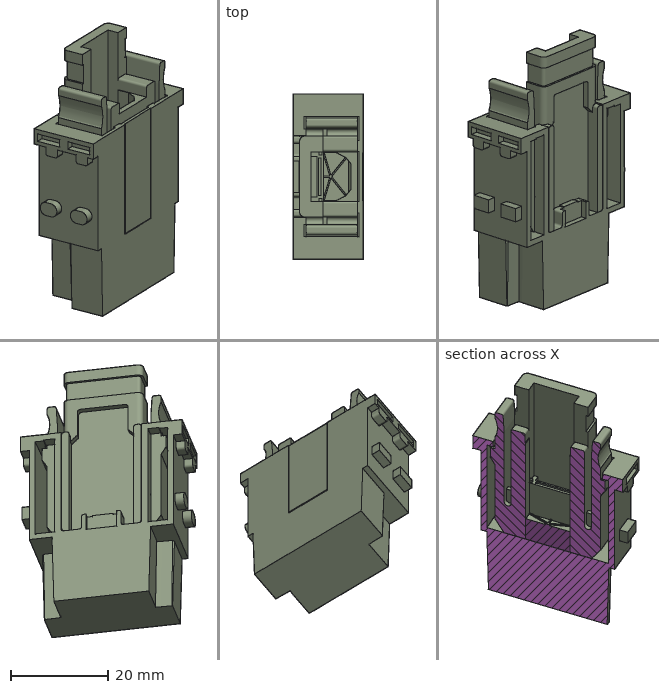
import cadquery as cq

DEPTH = 14.5
BODY_HALF = 15.15
FLANGE_HALF = 17.0
HOUSING_BOTTOM = 15.3
HOUSING_TOP = 39.95
FLANGE_HEIGHT = 3.45
FLANGE_BOTTOM = HOUSING_TOP - FLANGE_HEIGHT
SIDE_REACH = FLANGE_HALF - BODY_HALF

FLOOR = 16.5
CAVITY_FRONT = 2.7
LEVER_POCKET_FRONT = 2.3
CAVITY_REAR = 13.6
CAVITY_HALF = 12.35
SLOT_HALF = 8.45
SLOT_CORNER = 0.55
WINDOW_INNER = 9.8
WINDOW_OUTER = 13.95
WINDOW_OUTER_REAR = 13.6
WINDOW_TOP = 38.4
WINDOW_STEP_OUTER = 12.1
WINDOW_STEP_TOP = 38.6
REAR_RIB_INNER = 5.15
REAR_RIB_OUTER = 7.45
REAR_RELIEF_HALF = 4.9
REAR_RELIEF_DEPTH = 0.15

STOP_HALF = 4.15
STOP_TOP = 19.9
STOP_RADIUS = 0.5
STOP_NOTCH_HALF = 3.25
STOP_NOTCH_DEPTH = 1.25
STOP_NOTCH_BOTTOM = 16.3
STOP_BUMP_HALF = 2.15
STOP_BUMP_HEIGHT = 0.2

SIDE_PITCH = 7.4
FIRST_POCKET_X = 3.5
POCKET_LENGTH = 5.4
POCKET_BOTTOM = 37.3
POCKET_HEIGHT = 1.65
POCKET_DEPTH = 1.65
FIRST_TAB_X = 4.3
TAB_LENGTH = 2.85
TAB_DROP = 1.85
TAB_RADIUS = 0.55
FIRST_STUD_X = 3.5
STUD_LENGTH = 4.05
STUD_HEIGHT = 2.9
STUD_Z = 22.6

TOP = 54.85
SLIDER_FRONT = 1.3
SLIDER_REAR = 13.2
SLIDER_HALF = 8.35
SLIDER_CORNER = 1.15
HEAD_REAR = 6.2
HEAD_BOTTOM = 52.45
NECK_BOTTOM = 48.25
NECK_INSET = 0.5
ARM_TOP = 44.6
ARM_EDGE = 0.5
REAR_WALL_TOP = 42.05
WELL_FRONT = 3.75
WELL_HALF = 5.1
WELL_FLOOR = 21.95
RAIL_INNER = 6.8
RAIL_ROUND = 0.55
RECESS_FLOOR = 2.6
RECESS_TOP = 45.75
RECESS_TOP_HALF = 5.3
RECESS_NECK_Z = 39.7
RECESS_WIDE_Z = 38.3
RECESS_CORNER = 0.65

PLATE_FRONT = 4.9
PLATE_REAR = 6.25
PLATE_TOP = 30.15
PLATE_GROOVE_FRONT = 5.25
PLATE_GROOVE_WIDTH = 0.45
PLATE_GROOVE_HALF = 3.85
PLATE_GROOVE_DEPTH = 1.1
LEDGE_LENGTH = 0.95
POST_FRONT = 5.4
POST_SIZE = 0.6
POST_HEIGHT = 0.55

LEVER_FRONT = CAVITY_FRONT
LEVER_INNER = WINDOW_INNER
LEVER_OUTER = 12.0
LEVER_TOP = 47.9
LEVER_TIP_INNER = 10.1
LEVER_TIP_RADIUS = 0.55
LEVER_SLOPE_Z = 43.35
GRIP_MIDDLE = 43.7
GRIP_HALF_HEIGHT = 2.2
GRIP_DEPTH = 0.4
GRIP_LIP_HEIGHT = 0.3
GRIP_LIP_DEPTH = 0.15
BARB_OUTER = 13.05
BARB_TOP = 38.2
BARB_BOTTOM = 35.5
BARB_END = 33.8
ROOT_TOP = 19.4
ROOT_INNER = 10.05
HINGE_TOP = 24.7
HINGE_RIB_WIDTH = 0.8
HINGE_RIB_TOP = 27.4

CORE_FRONT = PLATE_REAR
CORE_OUTLINE = [(CORE_FRONT, 4.95), (8.9, 4.95), (10.8, 3.95), (11.9, 2.65)]
CORE_REAR_CHAMFER = 0.55
CORE_REAR_CHAMFER_DROP = 2.2
CORE_HUB_X = 7.75
CORE_HUB_RADIUS = 0.35
CORE_RIB_WIDTH = 0.3
CORE_RIB_HEIGHT = 0.2
CORE_RIB_ENDS = [(CORE_FRONT, 4.95), (10.8, 3.8), (CORE_FRONT, 0), (10.8, -3.8), (CORE_FRONT, -4.95)]

PLUG_TOP_OUTLINE = [
    (0, 10.35), (5.4, 10.35), (6.4, 10.25), (6.45, 11.45), (6.5, 13.55), (6.95, 13.9), (DEPTH, 13.9)
]
PLUG_BOTTOM_OUTLINE = [
    (0, 10.0), (5.8, 10.0), (6.8, 9.95), (6.85, 11.15), (6.9, 13.4), (6.95, 13.5), (DEPTH, 13.5)
]


def block(x0, x1, y0, y1, z0, z1):
    """Box between two opposite corners."""
    return cq.Workplane("XY").box(x1 - x0, y1 - y0, z1 - z0, centered=False).translate((x0, y0, z0))


def both_sides(shape):
    """A shape on the +Y side together with its mirror image on the -Y side."""
    return shape.union(shape.mirror("XZ"))


def mirrored_outline(half):
    """Closed outline, symmetric about y = 0, from its +Y half."""
    return half + [(x, -y) for x, y in reversed(half)]


def plug():
    return (
        cq.Workplane("XY")
        .polyline(mirrored_outline(PLUG_BOTTOM_OUTLINE)).close()
        .workplane(offset=HOUSING_BOTTOM)
        .polyline(mirrored_outline(PLUG_TOP_OUTLINE)).close()
        .loft(ruled=True)
    )


def cavity():
    """Space for the slider: central well, guide slot and the two front windows."""
    well = block(CAVITY_FRONT, CAVITY_REAR, -CAVITY_HALF, CAVITY_HALF, FLOOR, HOUSING_TOP)
    clearance = block(LEVER_POCKET_FRONT, CAVITY_FRONT, WINDOW_INNER, CAVITY_HALF, FLOOR, HOUSING_TOP)
    slot = block(0, SLIDER_FRONT, -SLOT_HALF, SLOT_HALF, FLOOR, HOUSING_TOP)
    slot = slot.edges("|X and <Z").fillet(SLOT_CORNER)
    slot = slot.union(block(SLIDER_FRONT, CAVITY_FRONT, -SLOT_HALF, SLOT_HALF, FLOOR, HOUSING_TOP))
    window = (
        cq.Workplane("XY", origin=(0, 0, FLOOR))
        .polyline([
            (0, WINDOW_INNER),
            (0, WINDOW_OUTER),
            (CAVITY_REAR, WINDOW_OUTER_REAR),
            (CAVITY_REAR, WINDOW_INNER),
        ])
        .close()
        .extrude(WINDOW_TOP - FLOOR)
    )
    window = window.union(block(0, CAVITY_REAR, WINDOW_INNER, WINDOW_STEP_OUTER, FLOOR, WINDOW_STEP_TOP))
    rib = block(SLIDER_REAR, CAVITY_REAR, REAR_RIB_INNER, REAR_RIB_OUTER, FLOOR, HOUSING_TOP)
    return well.union(slot).union(both_sides(window.union(clearance))).cut(both_sides(rib))


def stop():
    """Raised stop in the middle of the slot floor, flared at its foot."""
    foot = STOP_HALF + STOP_RADIUS
    shoulder = STOP_HALF - STOP_RADIUS
    r45 = STOP_RADIUS * 0.5 ** 0.5
    body = (
        cq.Workplane("YZ")
        .moveTo(-foot, FLOOR)
        .threePointArc((-foot + r45, FLOOR + STOP_RADIUS - r45), (-STOP_HALF, FLOOR + STOP_RADIUS))
        .lineTo(-STOP_HALF, STOP_TOP - STOP_RADIUS)
        .threePointArc((-shoulder - r45, STOP_TOP - STOP_RADIUS + r45), (-shoulder, STOP_TOP))
        .lineTo(shoulder, STOP_TOP)
        .threePointArc((shoulder + r45, STOP_TOP - STOP_RADIUS + r45), (STOP_HALF, STOP_TOP - STOP_RADIUS))
        .lineTo(STOP_HALF, FLOOR + STOP_RADIUS)
        .threePointArc((foot - r45, FLOOR + STOP_RADIUS - r45), (foot, FLOOR))
        .close()
        .extrude(RECESS_FLOOR)
    )
    bump = block(
        STOP_NOTCH_DEPTH, RECESS_FLOOR, -STOP_BUMP_HALF, STOP_BUMP_HALF, FLOOR, STOP_TOP + STOP_BUMP_HEIGHT
    )
    return body.union(bump)


def side_pocket(x):
    return block(
        x - POCKET_LENGTH / 2, x + POCKET_LENGTH / 2,
        FLANGE_HALF - POCKET_DEPTH, FLANGE_HALF,
        POCKET_BOTTOM, POCKET_BOTTOM + POCKET_HEIGHT,
    )


def side_tab(x):
    tab = block(
        x - TAB_LENGTH / 2, x + TAB_LENGTH / 2,
        BODY_HALF, FLANGE_HALF,
        FLANGE_BOTTOM - TAB_DROP, FLANGE_BOTTOM,
    )
    return tab.edges("|Y and <Z").fillet(TAB_RADIUS)


def round_stud(x):
    """Oblong stud on the -Y side."""
    outline = cq.Workplane("XZ", origin=(x, -BODY_HALF, STUD_Z)).slot2D(STUD_LENGTH, STUD_HEIGHT)
    return outline.extrude(SIDE_REACH)


def square_stud(x):
    """Rectangular stud on the +Y side."""
    return block(
        x - STUD_LENGTH / 2, x + STUD_LENGTH / 2,
        BODY_HALF, FLANGE_HALF,
        STUD_Z - STUD_HEIGHT / 2, STUD_Z + STUD_HEIGHT / 2,
    )


def make_housing():
    shell = block(0, DEPTH, -BODY_HALF, BODY_HALF, HOUSING_BOTTOM, HOUSING_TOP)
    flange = block(0, DEPTH, -FLANGE_HALF, FLANGE_HALF, FLANGE_BOTTOM, HOUSING_TOP)
    shell = shell.union(flange).union(plug())
    for shift in (0, SIDE_PITCH):
        shell = shell.cut(both_sides(side_pocket(FIRST_POCKET_X + shift)))
        shell = shell.union(both_sides(side_tab(FIRST_TAB_X + shift)))
        shell = shell.union(round_stud(FIRST_STUD_X + shift))
        shell = shell.union(square_stud(FIRST_STUD_X + shift))
    notch = block(
        0, STOP_NOTCH_DEPTH, -STOP_NOTCH_HALF, STOP_NOTCH_HALF,
        STOP_NOTCH_BOTTOM, STOP_TOP,
    )
    relief = block(
        DEPTH - REAR_RELIEF_DEPTH, DEPTH, -REAR_RELIEF_HALF, REAR_RELIEF_HALF,
        HOUSING_BOTTOM, HOUSING_TOP,
    )
    return shell.cut(relief).cut(cavity()).union(stop()).cut(notch)


def core_prism(height):
    return (
        cq.Workplane("XY", origin=(0, 0, FLOOR))
        .polyline(mirrored_outline(CORE_OUTLINE)).close()
        .extrude(height)
    )


def core_rib(end_x, end_y):
    """Raised rib from the hub to a point on the outline of the core."""
    reach = cq.Vector(end_x - CORE_HUB_X, end_y, 0)
    plane = cq.Plane(origin=(CORE_HUB_X, 0, WELL_FLOOR), xDir=reach, normal=(0, 0, 1))
    rib = cq.Workplane(plane).center(reach.Length / 2, 0).rect(reach.Length, CORE_RIB_WIDTH)
    return rib.extrude(CORE_RIB_HEIGHT)


def make_core():
    height = WELL_FLOOR - FLOOR
    core = core_prism(height).faces(">Z").edges(">X").chamfer(CORE_REAR_CHAMFER_DROP, CORE_REAR_CHAMFER)
    hub = cq.Workplane("XY", origin=(CORE_HUB_X, 0, WELL_FLOOR)).circle(CORE_HUB_RADIUS)
    ribs = hub.extrude(CORE_RIB_HEIGHT)
    for end_x, end_y in CORE_RIB_ENDS:
        ribs = ribs.union(core_rib(end_x, end_y))
    return core.union(ribs.intersect(core_prism(height + CORE_RIB_HEIGHT)))


def column(inset, rear, z0, z1):
    """Upright block with rounded front corners, set in from the slider outline."""
    half = SLIDER_HALF - inset
    upright = block(SLIDER_FRONT + inset, rear, -half, half, z0, z1)
    return upright.edges("|Z and <X").fillet(SLIDER_CORNER - inset)


def slider_rail():
    """Guide rail in front of the slider, rounded at its top and at its outer bottom edge."""
    rail = block(0, SLIDER_FRONT, RAIL_INNER, SLIDER_HALF, FLOOR, HOUSING_TOP)
    rail = rail.edges("|X and >Z").fillet(RAIL_ROUND)
    rail = rail.edges("|X and >Y and <Z").fillet(SLOT_CORNER)
    root = block(SLIDER_FRONT, RECESS_FLOOR, RAIL_INNER, SLIDER_HALF, FLOOR, HOUSING_TOP)
    return rail.union(root.edges("|X and >Z").fillet(RAIL_ROUND))


def front_recess():
    """Sunken panel in the slider front, narrow at its top and as wide as the rail gap below."""
    half = [
        (RAIL_INNER, FLOOR),
        (RAIL_INNER, RECESS_WIDE_Z),
        (RECESS_TOP_HALF, RECESS_NECK_Z),
        (RECESS_TOP_HALF, RECESS_TOP),
    ]
    outline = half + [(-y, z) for y, z in reversed(half)]
    panel = cq.Workplane("YZ").polyline(outline).close().extrude(RECESS_FLOOR)
    return panel.edges("|X and >Z").fillet(RECESS_CORNER)


def cross_plate():
    """Grooved plate across the well, with a ledge at each end of the gap in front of it."""
    plate = block(PLATE_FRONT, PLATE_REAR, -WELL_HALF, WELL_HALF, WELL_FLOOR, PLATE_TOP)
    ledge = block(WELL_FRONT, PLATE_FRONT, WELL_HALF - LEDGE_LENGTH, WELL_HALF, WELL_FLOOR, PLATE_TOP)
    groove = block(
        PLATE_GROOVE_FRONT, PLATE_GROOVE_FRONT + PLATE_GROOVE_WIDTH,
        -PLATE_GROOVE_HALF, PLATE_GROOVE_HALF,
        PLATE_TOP - PLATE_GROOVE_DEPTH, PLATE_TOP,
    )
    post = block(
        POST_FRONT, POST_FRONT + POST_SIZE, WELL_HALF - POST_SIZE, WELL_HALF,
        PLATE_TOP, PLATE_TOP + POST_HEIGHT,
    )
    return plate.cut(groove).union(both_sides(ledge.union(post)))


def lever():
    """Latch lever with finger grip and barb, on the +Y side."""
    lip_y = LEVER_OUTER - GRIP_LIP_DEPTH
    hollow_y = lip_y - GRIP_DEPTH
    quarter_y = lip_y - 0.75 * GRIP_DEPTH
    grip_top = GRIP_MIDDLE + GRIP_HALF_HEIGHT
    grip_bottom = GRIP_MIDDLE - GRIP_HALF_HEIGHT
    quarter_height = GRIP_HALF_HEIGHT / 2
    profile = (
        cq.Workplane("YZ", origin=(LEVER_FRONT, 0, 0))
        .moveTo(LEVER_TIP_INNER, LEVER_TOP)
        .lineTo(LEVER_OUTER, LEVER_TOP)
        .lineTo(LEVER_OUTER, grip_top + GRIP_LIP_HEIGHT)
        .lineTo(lip_y, grip_top)
        .threePointArc((quarter_y, GRIP_MIDDLE + quarter_height), (hollow_y, GRIP_MIDDLE))
        .threePointArc((quarter_y, GRIP_MIDDLE - quarter_height), (lip_y, grip_bottom))
        .lineTo(LEVER_OUTER, grip_bottom - GRIP_LIP_HEIGHT)
        .lineTo(LEVER_OUTER, BARB_TOP)
        .lineTo(BARB_OUTER, BARB_TOP)
        .lineTo(BARB_OUTER, BARB_BOTTOM)
        .lineTo(LEVER_OUTER, BARB_END)
        .lineTo(LEVER_OUTER, ROOT_TOP)
        .lineTo(ROOT_INNER, FLOOR)
        .lineTo(LEVER_INNER, FLOOR)
        .lineTo(LEVER_INNER, LEVER_SLOPE_Z)
        .close()
    )
    return profile.extrude(SLIDER_REAR - LEVER_FRONT).edges("|X and >Z").fillet(LEVER_TIP_RADIUS)


def hinge():
    """Web that joins the lever to the slider, hollowed on top, with an upright rib."""
    gap = LEVER_INNER - SLIDER_HALF
    web = block(LEVER_FRONT, SLIDER_REAR, SLIDER_HALF, LEVER_INNER, FLOOR, HINGE_TOP)
    hollow = (
        cq.Workplane("YZ", origin=(LEVER_FRONT, SLIDER_HALF + gap / 2, HINGE_TOP))
        .circle(gap / 2)
        .extrude(SLIDER_REAR - LEVER_FRONT)
    )
    rib = block(
        HEAD_REAR, HEAD_REAR + HINGE_RIB_WIDTH, SLIDER_HALF, LEVER_INNER, FLOOR, HINGE_RIB_TOP
    )
    return web.cut(hollow).union(rib)


def make_slider():
    body = block(HEAD_REAR, SLIDER_REAR, -SLIDER_HALF, SLIDER_HALF, FLOOR, ARM_TOP)
    body = body.cut(block(HEAD_REAR, SLIDER_REAR, -WELL_HALF, WELL_HALF, REAR_WALL_TOP, ARM_TOP))
    body = body.edges("|X and >Z").fillet(ARM_EDGE)
    body = body.union(column(0, HEAD_REAR, FLOOR, NECK_BOTTOM))
    body = body.union(column(NECK_INSET, HEAD_REAR, NECK_BOTTOM, HEAD_BOTTOM))
    body = body.union(column(0, HEAD_REAR, HEAD_BOTTOM, TOP))
    body = body.cut(block(WELL_FRONT, PLATE_REAR, -WELL_HALF, WELL_HALF, WELL_FLOOR, TOP))
    body = body.cut(core_prism(REAR_WALL_TOP - FLOOR)).union(cross_plate())
    body = body.union(both_sides(slider_rail())).cut(front_recess())
    return body.union(both_sides(lever().union(hinge())))


housing = make_housing()
slider = make_slider()
core = make_core()
result = cq.Compound.makeCompound([body.solids().val() for body in (housing, slider, core)])